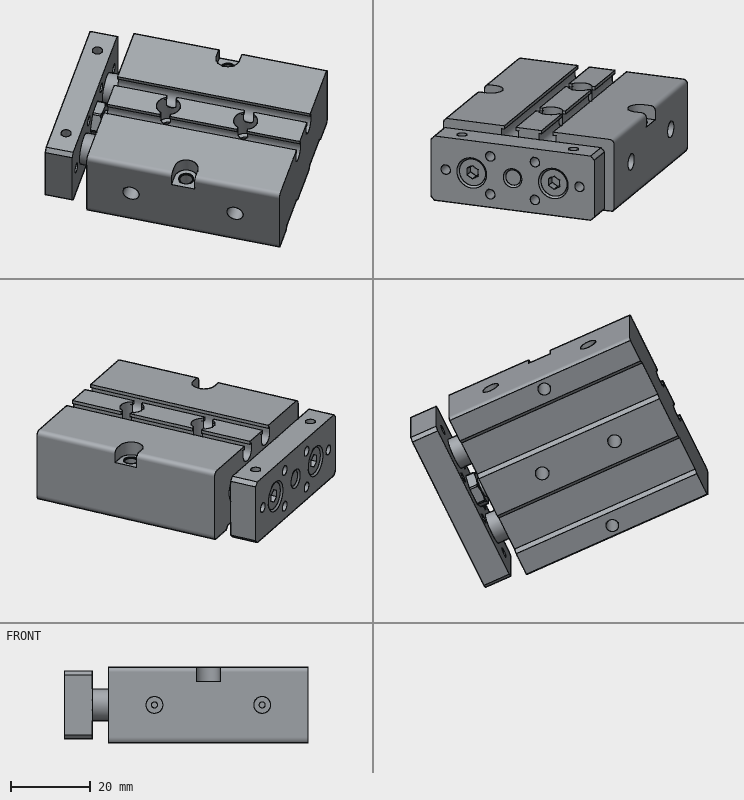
import cadquery as cq
import math


overall_length = 61.0
plate_thickness = 7.0
plate_gap = 4.0
housing_front = plate_thickness + plate_gap
housing_length = overall_length - housing_front
housing_middle = housing_front + housing_length / 2

housing_width = 46.0
housing_height = 19.0
housing_top = housing_height / 2
top_corner_radius = 1.3
bottom_corner_radius = 2.0
bottom_corner_height = 1.3

groove_spacing = 10.0
groove_opening = 3.1
groove_width = 4.6
groove_depth = 4.7
groove_lip = 0.85

channel_spacing = 21.95
channel_width = 11.1
channel_depth = 1.0

counterbore_diameter = 6.0
counterbore_depth = 7.5
strip_hole_diameter = 3.4
strip_hole_spacing = 20.0
strip_notch_width = 2.5

side_hole_spacing = 40.0
side_pocket_depth = 3.6
side_hole_diameter = 3.2
side_hole_entry_diameter = 3.7
side_hole_entry_depth = 0.3

port_spacing = 26.95
port_diameter = 4.2
port_depth = 5.0
port_bore_diameter = 1.5
port_bore_depth = 8.0

plate_width = 44.0
plate_height = 17.0
plate_chamfer = 1.0
plate_hole_diameter = 2.5
outer_hole_spacing = 36.0
inner_hole_spacing_y = 12.0
inner_hole_spacing_z = 10.0
top_hole_spacing = 30.0
top_hole_x = 3.55
top_hole_depth = 5.0

guide_rod_spacing = channel_spacing
guide_rod_diameter = 8.0
piston_rod_diameter = 5.0
rod_end_recess_depth = 0.5
socket_width = 3.0
socket_depth = 2.5
nut_width = 8.0
nut_corner_diameter = 8.95
nut_length = 2.3
nut_chamfer_length = 0.25
nut_chamfer_height = 0.4


def hexagon(width_across_flats):
    """Hexagon in the YZ plane with flats facing +Z and -Z."""
    return cq.Workplane("YZ").polygon(6, width_across_flats / math.cos(math.pi / 6))


def x_cylinder(diameter, start, length, y=0):
    """Cylinder along +X from the plane X = start."""
    return cq.Workplane("YZ", origin=(start, y, 0)).circle(diameter / 2).extrude(length)


def z_hole(diameter, x, y, top, depth):
    """Cylinder going down from Z = top."""
    return cq.Workplane("XY", origin=(x, y, top)).circle(diameter / 2).extrude(-depth)


def mirrored(spacing):
    """Two positions, half the spacing to each side of zero."""
    return (-spacing / 2, spacing / 2)



def housing_block():
    """Block with rounded upper edges; each lower edge is an arc that leaves its side smoothly
    and meets the flat underside at an angle."""
    side = housing_width / 2
    arc_angle = math.asin(bottom_corner_height / bottom_corner_radius)
    arc_center_y = side - bottom_corner_radius
    arc_start_z = bottom_corner_height - housing_top
    arc_middle_y = arc_center_y + bottom_corner_radius * math.cos(arc_angle / 2)
    arc_middle_z = arc_start_z - bottom_corner_radius * math.sin(arc_angle / 2)
    arc_end_y = arc_center_y + bottom_corner_radius * math.cos(arc_angle)
    return (
        cq.Workplane("YZ", origin=(housing_front, 0, 0))
        .moveTo(-side, housing_top)
        .lineTo(-side, arc_start_z)
        .threePointArc((-arc_middle_y, arc_middle_z), (-arc_end_y, -housing_top))
        .lineTo(arc_end_y, -housing_top)
        .threePointArc((arc_middle_y, arc_middle_z), (side, arc_start_z))
        .lineTo(side, housing_top)
        .close()
        .extrude(housing_length)
        .faces(">Z")
        .edges("|X")
        .fillet(top_corner_radius)
    )


def top_groove(y):
    radius = groove_width / 2
    lip_z = housing_top - groove_lip
    bottom_z = housing_top - groove_depth
    arc_z = bottom_z + radius
    return (
        cq.Workplane("YZ", origin=(housing_front, y, 0))
        .moveTo(-groove_opening / 2, housing_top)
        .lineTo(-groove_opening / 2, lip_z)
        .lineTo(-radius, lip_z)
        .lineTo(-radius, arc_z)
        .threePointArc((0, bottom_z), (radius, arc_z))
        .lineTo(radius, lip_z)
        .lineTo(groove_opening / 2, lip_z)
        .lineTo(groove_opening / 2, housing_top)
        .close()
        .extrude(housing_length)
    )


def bottom_channel(y):
    """Channel whose sides slope inward at 45 degrees."""
    mouth = channel_width / 2
    floor = mouth - channel_depth
    return (
        cq.Workplane("YZ", origin=(housing_front, y, -housing_top))
        .polyline([(-mouth, 0), (-floor, channel_depth), (floor, channel_depth), (mouth, 0)])
        .close()
        .extrude(housing_length)
    )


def strip_hole(x):
    """Counterbored through hole, with notches that carry its openings through the groove lips."""
    strip_width = groove_spacing - groove_opening
    hole = z_hole(strip_hole_diameter, x, 0, housing_top, housing_height)
    counterbore = z_hole(counterbore_diameter, x, 0, housing_top, counterbore_depth)
    notch = (
        cq.Workplane("XY", origin=(x, 0, housing_top))
        .rect(strip_notch_width, strip_width)
        .extrude(-groove_lip)
    )
    return hole.union(counterbore).union(notch)


def side_hole(y):
    """Through hole in a round-ended pocket that runs out to the nearer side."""
    floor_z = housing_top - side_pocket_depth
    side_y = math.copysign(housing_width / 2, y)
    hole = z_hole(side_hole_diameter, housing_middle, y, housing_top, housing_height)
    entry = z_hole(side_hole_entry_diameter, housing_middle, y, floor_z, side_hole_entry_depth)
    pocket = z_hole(counterbore_diameter, housing_middle, y, housing_top, side_pocket_depth)
    run_out = (
        cq.Workplane("XY", origin=(housing_middle, (y + side_y) / 2, housing_top))
        .rect(counterbore_diameter, abs(side_y - y))
        .extrude(-side_pocket_depth)
    )
    return hole.union(entry).union(pocket).union(run_out)


def air_port(x):
    """Port with a narrower bore at its end, going in from the -Y side."""
    entry = cq.Workplane("XZ", origin=(x, -housing_width / 2, 0))
    port = entry.circle(port_diameter / 2).extrude(-port_depth)
    bore = entry.circle(port_bore_diameter / 2).extrude(-port_bore_depth)
    return port.union(bore)


def make_housing():
    body = housing_block()
    for y in mirrored(groove_spacing):
        body = body.cut(top_groove(y))
    for y in mirrored(channel_spacing):
        body = body.cut(bottom_channel(y))
    for offset in mirrored(strip_hole_spacing):
        body = body.cut(strip_hole(housing_middle + offset))
    for y in mirrored(side_hole_spacing):
        body = body.cut(side_hole(y))
    for offset in mirrored(port_spacing):
        body = body.cut(air_port(housing_middle + offset))
    return body



def plate_block():
    return (
        cq.Workplane("YZ")
        .rect(plate_width, plate_height)
        .extrude(plate_thickness)
        .edges("|X")
        .chamfer(plate_chamfer)
    )


def plate_holes():
    """Through holes: one at each end and four around the middle."""
    return (
        cq.Workplane("YZ")
        .pushPoints([(y, 0) for y in mirrored(outer_hole_spacing)])
        .circle(plate_hole_diameter / 2)
        .extrude(plate_thickness)
        .union(
            cq.Workplane("YZ")
            .rect(inner_hole_spacing_y, inner_hole_spacing_z, forConstruction=True)
            .vertices()
            .circle(plate_hole_diameter / 2)
            .extrude(plate_thickness)
        )
    )


def rod_end_recess(diameter, y):
    """Shallow recess with a 45 degree conical side, in front of a rod end."""
    floor_diameter = diameter - 2 * rod_end_recess_depth
    return (
        cq.Workplane("YZ", origin=(0, y, 0))
        .circle(diameter / 2)
        .workplane(offset=rod_end_recess_depth)
        .circle(floor_diameter / 2)
        .loft()
    )


def rod_socket(y):
    """Hexagonal socket in the end of a guide rod, with corners at top and bottom."""
    start = rod_end_recess_depth
    socket = hexagon(socket_width).extrude(socket_depth)
    return socket.rotate((0, 0, 0), (1, 0, 0), 90).translate((start, y, 0))


def rod_nut():
    """Hexagonal nut with its corners turned down, and bevelled on the housing side."""
    radius = nut_corner_diameter / 2
    turned_blank = (
        cq.Workplane("XY")
        .moveTo(0, 0)
        .lineTo(0, radius)
        .lineTo(nut_length - nut_chamfer_length, radius)
        .lineTo(nut_length, radius - nut_chamfer_height)
        .lineTo(nut_length, 0)
        .close()
        .revolve(360, (0, 0, 0), (1, 0, 0))
    )
    nut = hexagon(nut_width).extrude(nut_length).intersect(turned_blank)
    return nut.translate((plate_thickness, 0, 0))


def top_hole(y):
    return z_hole(plate_hole_diameter, top_hole_x, y, plate_height / 2, top_hole_depth)


def make_slide():
    body = plate_block()
    body = body.union(x_cylinder(piston_rod_diameter, plate_thickness, plate_gap))
    body = body.union(rod_nut())
    for y in mirrored(guide_rod_spacing):
        body = body.union(x_cylinder(guide_rod_diameter, plate_thickness, plate_gap, y))
    body = body.cut(plate_holes())
    for y in mirrored(top_hole_spacing):
        body = body.cut(top_hole(y))
    body = body.cut(rod_end_recess(piston_rod_diameter, 0))
    for y in mirrored(guide_rod_spacing):
        body = body.cut(rod_end_recess(guide_rod_diameter, y))
        body = body.cut(rod_socket(y))
    return body


housing = make_housing()
slide = make_slide()
result = cq.Compound.makeCompound([housing.val(), slide.val()])